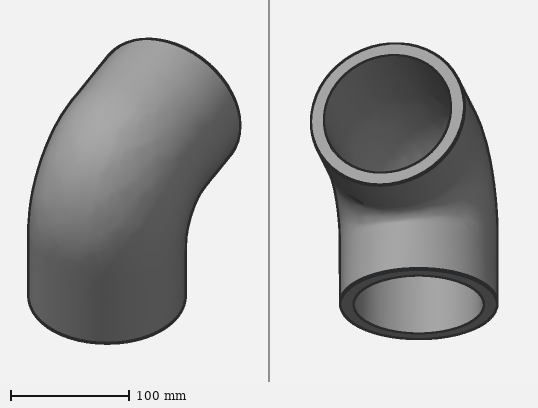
import math

import cadquery as cq

length = 188.0
outer_diameter = 133.5
bore_diameter = 110.1
collar_length = 44.5
outer_corner_radius = 109.0
rim_bevel_length = 1.5
rim_bevel_depth = 0.5
bend_steps = 20

half_length = length / 2
outer_radius = outer_diameter / 2
axis_offset = half_length - outer_radius
pivot_offset = half_length - collar_length
bend_reach = length - collar_length
corner_centre = bend_reach - outer_corner_radius


def outer_reach(angle, inset):
    """Distance from the bend pivot to the outer corner curve, moved inward by inset."""
    reach = bend_reach - inset
    from_end = min(angle, math.pi / 2 - angle)
    if reach * math.tan(from_end) <= corner_centre:
        return reach / math.cos(from_end)
    arc_radius = outer_corner_radius - inset
    along = corner_centre * (math.cos(angle) + math.sin(angle))
    across_squared = 2 * corner_centre**2 - along**2
    return along + math.sqrt(arc_radius**2 - across_squared)


def bend(diameter):
    """Loft oval sections that fan around the inner corner of the elbow."""
    inset = (outer_diameter - diameter) / 2
    inner_reach = bend_reach - outer_diameter + inset
    sections = []
    for step in range(bend_steps + 1):
        angle = math.pi / 2 * step / bend_steps
        outward = cq.Vector(0, -math.sin(angle), math.cos(angle))
        normal = cq.Vector(0, -math.cos(angle), -math.sin(angle))
        far_reach = outer_reach(angle, inset)
        centre = cq.Vector(0, pivot_offset, -pivot_offset) + outward * ((inner_reach + far_reach) / 2)
        long_radius = max((far_reach - inner_reach) / 2, diameter / 2)
        section = cq.Wire.makeEllipse(long_radius, diameter / 2, centre, normal, outward)
        sections.append(section)
    return cq.Workplane(cq.Solid.makeLoft(sections))


def collar_pair(diameter):
    """Straight lengths at the +Y and -Z ends."""
    rear = cq.Workplane("XZ", origin=(0, half_length, axis_offset)).circle(diameter / 2).extrude(collar_length)
    bottom = cq.Workplane("XY", origin=(0, -axis_offset, -half_length)).circle(diameter / 2).extrude(collar_length)
    return rear, bottom


def bevel_rim(collar, end_face):
    """Slim bevel around the outside of an open end."""
    return collar.faces(end_face).chamfer(rim_bevel_length, rim_bevel_depth)


def elbow_body():
    rear, bottom = collar_pair(outer_diameter)
    return bend(outer_diameter).union(bevel_rim(rear, ">Y")).union(bevel_rim(bottom, "<Z"))


def elbow_bore():
    rear, bottom = collar_pair(bore_diameter)
    return bend(bore_diameter).union(rear).union(bottom)


result = elbow_body().cut(elbow_bore())